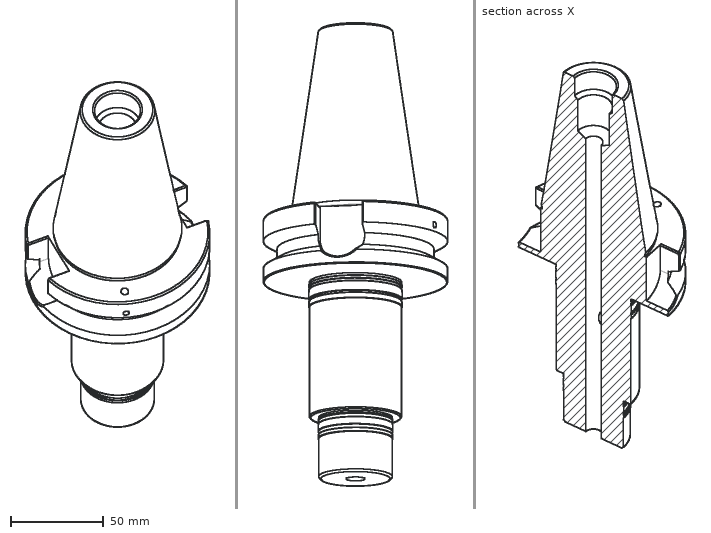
import cadquery as cq
import math

total_height = 248.8
gauge_height = 147.0
flange_top = 144.0
flange_bottom = 109.0
flange_diameter = 100.0
flange_radius = flange_diameter / 2
flange_chamfer = 1.0
flange_bottom_chamfer = 0.5

taper_radius = 70.0 / 2
taper_ratio = 7 / 24
taper_top_radius = taper_radius - (total_height - gauge_height) * taper_ratio / 2
taper_chamfer = 1.0
relief_radius = 68.7 / 2
relief_height = 145.0

groove_radius = 85.0 / 2
groove_middle = 124.2
groove_floor_width = 6.5
groove_wall_height = (flange_radius - groove_radius) * math.tan(math.radians(30))

sleeve_radius = 50.0 / 2
sleeve_bottom = 33.8
sleeve_chamfer = 0.7
nose_radius = 40.0 / 2
nose_chamfer = 1.2

ring_height = 0.2
ring_slope = 0.2
sleeve_rings = [(95.3, 98.0), (99.5, 104.5), (106.2, 107.5)]
nose_rings = [(32.3, 32.5), (26.4, 30.0), (22.5, 24.1)]

slot_width = 25.6
slot_floor = 35.3
slot_arc_height = 126.0
slot_chamfer = 0.7

mouth_chamfer = 1.0
counterbore_radius = 25.0 / 2
counterbore_depth = 13.5
thread_radius = 20.7 / 2
thread_depth = 37.3
through_radius = 10.2 / 2
drill_point_angle = 118

tolerance = 0.02

coolant_angles = (-20, 160)
coolant_radius = 41.8
coolant_diameter = 4.0
coolant_tilt = 30
cross_diameter = 3.2
cross_height = 135.3


def revolve(points):
    """Solid of revolution about Z from (radius, height) points."""
    return cq.Workplane("XZ").polyline(points).close().revolve(360, (0, 0, 0), (0, 1, 0))


def body():
    floor_low = groove_middle - groove_floor_width / 2
    floor_high = groove_middle + groove_floor_width / 2
    return revolve([
        (0, 0),
        (nose_radius - nose_chamfer, 0),
        (nose_radius, nose_chamfer),
        (nose_radius, sleeve_bottom),
        (sleeve_radius - sleeve_chamfer, sleeve_bottom),
        (sleeve_radius, sleeve_bottom + sleeve_chamfer),
        (sleeve_radius, flange_bottom),
        (flange_radius - flange_bottom_chamfer, flange_bottom),
        (flange_radius, flange_bottom + flange_bottom_chamfer),
        (flange_radius, floor_low - groove_wall_height),
        (groove_radius, floor_low),
        (groove_radius, floor_high),
        (flange_radius, floor_high + groove_wall_height),
        (flange_radius, flange_top - flange_chamfer),
        (flange_radius - flange_chamfer, flange_top),
        (relief_radius, flange_top),
        (relief_radius, relief_height),
        (taper_radius, gauge_height),
        (taper_top_radius + taper_chamfer * taper_ratio / 2, total_height - taper_chamfer),
        (taper_top_radius - taper_chamfer, total_height),
        (0, total_height),
    ])


def raised_ring(shank_radius, bottom, top):
    return revolve([
        (0, bottom - ring_slope),
        (shank_radius, bottom - ring_slope),
        (shank_radius + ring_height, bottom),
        (shank_radius + ring_height, top),
        (shank_radius, top + ring_slope),
        (0, top + ring_slope),
    ])


def drive_slot():
    """Slot on the -Y side, open at the flange top and half round at the bottom."""
    half_width = slot_width / 2
    return (
        cq.Workplane("XZ", origin=(0, -slot_floor, 0))
        .moveTo(-half_width, flange_top)
        .lineTo(-half_width, slot_arc_height)
        .threePointArc((0, slot_arc_height - half_width), (half_width, slot_arc_height))
        .lineTo(half_width, flange_top)
        .close()
        .extrude(flange_radius)
    )


def bore():
    counterbore_floor = total_height - counterbore_depth
    thread_end = total_height - thread_depth
    step = counterbore_radius - thread_radius
    point_height = (thread_radius - through_radius) / math.tan(math.radians(drill_point_angle / 2))
    return revolve([
        (0, 0),
        (through_radius, 0),
        (through_radius, thread_end - point_height),
        (thread_radius, thread_end),
        (thread_radius, counterbore_floor - step),
        (counterbore_radius, counterbore_floor),
        (counterbore_radius, total_height - mouth_chamfer),
        (counterbore_radius + mouth_chamfer, total_height),
        (0, total_height),
    ])


def is_slot_rim(edge):
    """True for the slot edges that lie on the flange top or on the outside of the flange."""
    middle = edge.Center()
    beside_slot = abs(middle.x) < slot_width / 2 + tolerance
    outside = math.hypot(middle.x, middle.y) > flange_radius - flange_chamfer
    slot_side = abs(middle.x) > slot_width / 2 - tolerance
    on_top = slot_side and middle.z > flange_top - tolerance
    return beside_slot and (outside or on_top)


def coolant_hole(angle):
    """Sloping hole from the flange top to the bore, and a cross hole that meets it from the rim."""
    slope = math.radians(coolant_tilt)
    drop = coolant_radius / math.tan(slope)
    reach = coolant_radius / math.sin(slope)
    hole_plane = cq.Plane((0, 0, flange_top - drop), (0, 1, 0), (math.sin(slope), 0, math.cos(slope)))
    sloping = (
        cq.Workplane(hole_plane)
        .circle(coolant_diameter / 2)
        .extrude(reach + coolant_diameter)
    )
    cross_start = coolant_radius - (flange_top - cross_height) * math.tan(slope)
    cross = (
        cq.Workplane("YZ", origin=(cross_start, 0, cross_height))
        .circle(cross_diameter / 2)
        .extrude(flange_radius - cross_start + cross_diameter)
    )
    return sloping.union(cross).rotate((0, 0, 0), (0, 0, 1), angle)


result = body()
for shank_radius, rings in ((sleeve_radius, sleeve_rings), (nose_radius, nose_rings)):
    for ring_bottom, ring_top in rings:
        result = result.union(raised_ring(shank_radius, ring_bottom, ring_top))
for turn in (0, 180):
    result = result.cut(drive_slot().rotate((0, 0, 0), (0, 0, 1), turn))
result = result.edges().filter(is_slot_rim).chamfer(slot_chamfer)
result = result.cut(bore())
for angle in coolant_angles:
    result = result.cut(coolant_hole(angle))